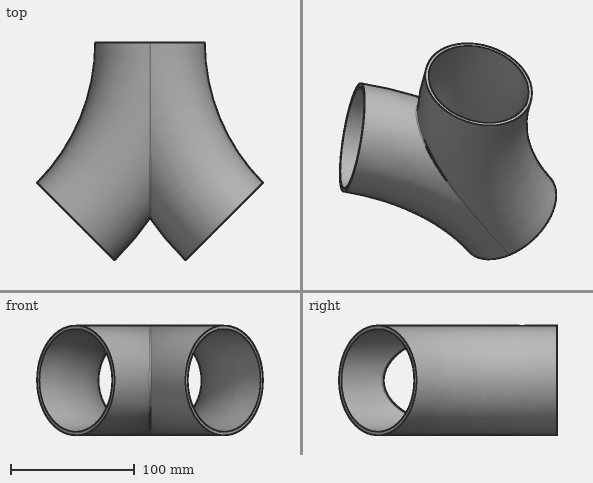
import cadquery as cq

outer_diameter = 88.9
wall = 2.9
bend_radius = 205.0
bend_angle = 45.0
seam_radius = 1.0
blend_start = 1.0

outer_radius = outer_diameter / 2
bore_radius = outer_radius - wall
bore_seam_radius = seam_radius + wall

block_size = 2 * (bend_radius + outer_radius)
tolerance = 0.01


def bend(radius):
    """Solid round bend from the common end at Y = 0 towards -Y, curving to +X."""
    return (
        cq.Workplane("XZ")
        .circle(radius)
        .revolve(bend_angle, (bend_radius, -1, 0), (bend_radius, 1, 0))
    )


def is_seam(edge):
    """True for the long edge in the X = 0 plane where the two bends intersect."""
    box = edge.BoundingBox()
    return box.xlen < tolerance and box.ylen > outer_radius


def twin_bend(radius, blend_radius):
    """Two mirrored bends merged into one solid, with the seam between them filleted.

    The bends coincide at the common end, so the seam only becomes a real edge beyond it.
    A short end piece is therefore left sharp.
    """
    right_bend = bend(radius)
    sharp = right_bend.union(right_bend.mirror("YZ"))

    branch_block = (
        cq.Workplane("XY")
        .box(block_size, block_size, block_size)
        .translate((0, -blend_start - block_size / 2, 0))
    )
    end_piece = sharp.cut(branch_block, clean=False)
    branches = sharp.intersect(branch_block, clean=False)
    seam_edges = [edge for edge in branches.edges().vals() if is_seam(edge)]
    blended = branches.newObject(seam_edges).fillet(blend_radius)
    return end_piece.union(blended, clean=False)


outside = twin_bend(outer_radius, seam_radius)
bore = twin_bend(bore_radius, bore_seam_radius)
result = outside.cut(bore, clean=False).clean()